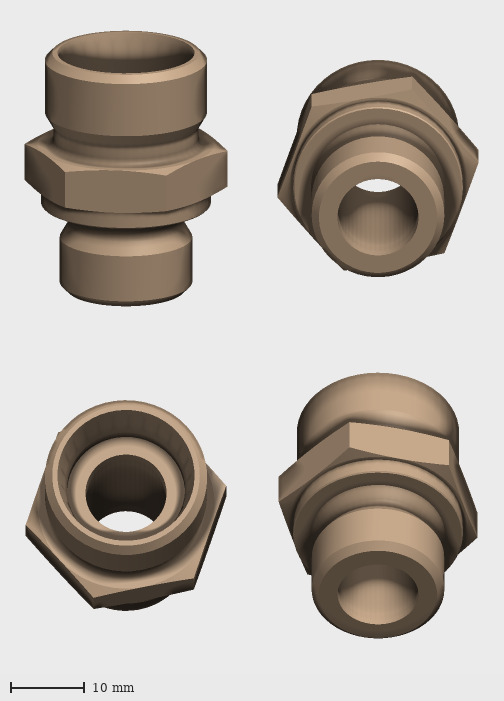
import cadquery as cq
import math

total_length = 33.5
bore_diameter = 11.0

stud_diameter = 18.0
stud_tip_diameter = 16.0
stud_tip_chamfer_height = 1.0
stud_thread_top = 7.4
undercut_bottom = 9.2
undercut_top = 10.45
thread_runout_angle = 30.0
undercut_upper_angle = 34.0

collar_diameter = 23.0
collar_bottom = 12.05
collar_edge_chamfer = 0.17
hex_bottom = 14.5
hex_top = 20.55
hex_across_flats = 24.02
hex_chamfer_angle = 15.0

neck_diameter = 19.7
neck_fillet_radius = 0.95
upper_diameter = 22.0
upper_thread_bottom = 25.1
upper_tip_diameter = 20.0
upper_tip_chamfer_height = 1.0

socket_diameter = 16.0
socket_depth = 8.05
socket_mouth_diameter = 18.6
socket_cone_half_angle = 12.0


def turned_body():
    """Outside of both threaded ends, the collar and the neck, revolved about Z."""
    stud_radius = stud_diameter / 2
    collar_radius = collar_diameter / 2
    neck_radius = neck_diameter / 2
    upper_radius = upper_diameter / 2
    runout = math.radians(thread_runout_angle)

    upper_slope = math.radians(undercut_upper_angle)
    arc_radius = (undercut_top - undercut_bottom) / (math.sin(runout) + math.sin(upper_slope))
    arc_bottom_radius = stud_radius - (undercut_bottom - stud_thread_top) * math.tan(runout)
    root_radius = arc_bottom_radius - arc_radius * (1 - math.cos(runout))
    root_height = undercut_bottom + arc_radius * math.sin(runout)
    arc_top_radius = root_radius + arc_radius * (1 - math.cos(upper_slope))
    undercut_mouth_radius = arc_top_radius + (collar_bottom - undercut_top) * math.tan(upper_slope)

    blend_radius = neck_radius + neck_fillet_radius * (1 - math.cos(runout))
    blend_top = upper_thread_bottom - (upper_radius - blend_radius) / math.tan(runout)
    blend_bottom = blend_top - neck_fillet_radius * math.sin(runout)
    blend_mid_radius = neck_radius + neck_fillet_radius * (1 - math.cos(runout / 2))
    blend_mid_height = blend_bottom + neck_fillet_radius * math.sin(runout / 2)
    fillet_outer_radius = neck_radius + neck_fillet_radius
    fillet_top = hex_top + neck_fillet_radius
    fillet_mid_offset = neck_fillet_radius * (1 - math.sqrt(0.5))
    profile = (
        cq.Workplane("XZ")
        .lineTo(stud_tip_diameter / 2, 0)
        .lineTo(stud_radius, stud_tip_chamfer_height)
        .lineTo(stud_radius, stud_thread_top)
        .lineTo(arc_bottom_radius, undercut_bottom)
        .threePointArc((root_radius, root_height), (arc_top_radius, undercut_top))
        .lineTo(undercut_mouth_radius, collar_bottom)
        .lineTo(collar_radius - collar_edge_chamfer, collar_bottom)
        .lineTo(collar_radius, collar_bottom + collar_edge_chamfer)
        .lineTo(collar_radius, hex_top)
        .lineTo(fillet_outer_radius, hex_top)
        .threePointArc(
            (neck_radius + fillet_mid_offset, hex_top + fillet_mid_offset),
            (neck_radius, fillet_top),
        )
        .lineTo(neck_radius, blend_bottom)
        .threePointArc((blend_mid_radius, blend_mid_height), (blend_radius, blend_top))
        .lineTo(upper_radius, upper_thread_bottom)
        .lineTo(upper_radius, total_length - upper_tip_chamfer_height)
        .lineTo(upper_tip_diameter / 2, total_length)
        .lineTo(0, total_length)
        .close()
    )
    return profile.revolve(360, (0, 0, 0), (0, 1, 0))


def chamfered_hexagon():
    """Wrench hexagon with corners on the Y axis, trimmed by a cone at each end."""
    face_radius = hex_across_flats / 2
    corner_radius = face_radius / math.cos(math.radians(30))
    corner_drop = (corner_radius - face_radius) * math.tan(math.radians(hex_chamfer_angle))
    prism = (
        cq.Workplane("XY", origin=(0, 0, hex_bottom))
        .polygon(6, 2 * corner_radius)
        .extrude(hex_top - hex_bottom)
        .rotate((0, 0, 0), (0, 0, 1), 30)
    )
    envelope = (
        cq.Workplane("XZ")
        .moveTo(0, hex_bottom)
        .lineTo(face_radius, hex_bottom)
        .lineTo(corner_radius, hex_bottom + corner_drop)
        .lineTo(corner_radius, hex_top - corner_drop)
        .lineTo(face_radius, hex_top)
        .lineTo(0, hex_top)
        .close()
        .revolve(360, (0, 0, 0), (0, 1, 0))
    )
    return prism.intersect(envelope)


def tube_passage():
    """Through bore, flat-bottomed tube socket and its conical mouth."""
    bore_radius = bore_diameter / 2
    socket_radius = socket_diameter / 2
    mouth_radius = socket_mouth_diameter / 2
    cone_depth = (mouth_radius - socket_radius) / math.tan(math.radians(socket_cone_half_angle))
    profile = (
        cq.Workplane("XZ")
        .lineTo(bore_radius, 0)
        .lineTo(bore_radius, total_length - socket_depth)
        .lineTo(socket_radius, total_length - socket_depth)
        .lineTo(socket_radius, total_length - cone_depth)
        .lineTo(mouth_radius, total_length)
        .lineTo(0, total_length)
        .close()
    )
    return profile.revolve(360, (0, 0, 0), (0, 1, 0))


result = turned_body().union(chamfered_hexagon()).cut(tube_passage())